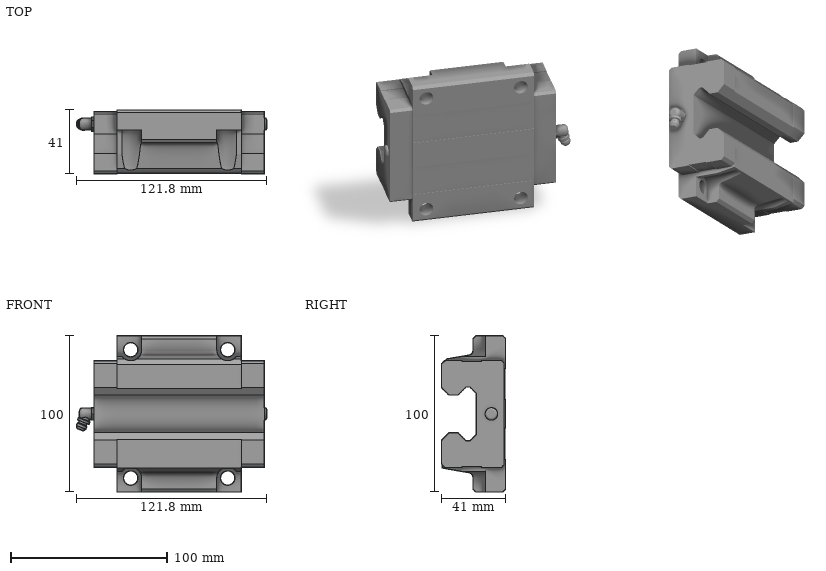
import cadquery as cq
import math


OVERALL_LENGTH = 121.76
OVERALL_DEPTH = 41.0
FLANGE_WIDTH = 100.0

BLOCK_LENGTH = 79.6
BLOCK_DEPTH = 40.6
FLANGE_THICKNESS = 21.0
MOUNT_EDGE_CHAMFER = 1.8
FLANGE_EDGE_CHAMFER = 2.0
FLANGE_ROOT_RADIUS = 2.75
SIDE_TAPER = math.tan(math.radians(10))
SIDE_ROOT_HALF_WIDTH = 38.1
UPPER_CHAMFER_DEPTH = 37.5
UPPER_CHAMFER_END = 31.6
RELIEF_INNER = 9.1
RELIEF_WIDTH = 20.0
RELIEF_DEPTH = 0.25

HOLE_DIAMETER = 9.0
HOLE_PITCH_X = 62.0
HOLE_PITCH_Z = 82.0
SEAT_DEPTH = 12.9
SEAT_RADIUS = 7.0
SEAT_END_DEPTH = 39.0
SEAT_LEDGE = 36.8

CAP_LENGTH = 14.7
CAP_HALF_WIDTH = 34.1
CAP_SETBACK = 1.1
CAP_REAR_CHAMFER = 1.5
CAP_FRONT_CHAMFER = 2.0
CAP_SIDE_RECESS = 0.45
CAP_RECESS_START = 15.3
CAP_RECESS_END = 27.9

CHANNEL_FLOOR_DEPTH = 18.8
CHANNEL_NARROW = 12.0
CHANNEL_WIDE = 17.15
CHANNEL_FLOOR = 13.1
CHANNEL_WAIST_LENGTH = 2.45
CHANNEL_THROAT_LENGTH = 5.8

LUBE_DEPTH = 9.1
PLUG_DIAMETER = 8.0
PLUG_LENGTH = 1.5
PLUG_SEAT = 1.0
HEX_FLATS = 8.0
HEX_CORNERS = HEX_FLATS / math.cos(math.radians(30))
HEX_LENGTH = 1.7
ELBOW_DIAMETER = 7.85
ELBOW_STRAIGHT = 7.0
ELBOW_ROUND = 2.4
NIPPLE_ANGLE = 22.5
STEM_DIAMETER = 6.6
COLLAR_DIAMETER = 8.0
COLLAR_START = 3.9
COLLAR_END = 5.7
COLLAR_CHAMFER = 0.3
NECK_DIAMETER = 5.5
HEAD_DIAMETER = 6.6
HEAD_START = 7.6
HEAD_SHOULDER = 9.3
TIP_DIAMETER = 4.4
TIP_END = 11.0
HEAD_CHAMFER = (HEAD_DIAMETER - NECK_DIAMETER) / 2

FLANGE_HALF = FLANGE_WIDTH / 2
BLOCK_END = BLOCK_LENGTH / 2
CAP_END = BLOCK_END + CAP_LENGTH
NIPPLE_PROJECTION = OVERALL_LENGTH - 2 * CAP_END - PLUG_LENGTH


def side_half_width(depth):
    """Half width of the tapered block side at a given depth below the flange."""
    return SIDE_ROOT_HALF_WIDTH - SIDE_TAPER * (depth - FLANGE_THICKNESS)


def extrude_section(points, start, end):
    """Extrude a closed (depth, z) outline along X from start to end."""
    section = [(-depth, z) for depth, z in points]
    return cq.Workplane("YZ", origin=(start, 0, 0)).polyline(section).close().extrude(end - start)


def box_between(x_range, depth_range, z_range):
    """Box spanning the given X, depth and Z ranges."""
    size = [abs(r[1] - r[0]) for r in (x_range, depth_range, z_range)]
    middle = [sum(r) / 2 for r in (x_range, depth_range, z_range)]
    return cq.Workplane("XY").box(*size).translate((middle[0], -middle[1], middle[2]))


def make_block():
    """Flanged block; only the upper front edge is chamfered."""
    upper_side = [
        (0, FLANGE_HALF - MOUNT_EDGE_CHAMFER),
        (MOUNT_EDGE_CHAMFER, FLANGE_HALF),
        (FLANGE_THICKNESS - FLANGE_EDGE_CHAMFER, FLANGE_HALF),
        (FLANGE_THICKNESS, FLANGE_HALF - FLANGE_EDGE_CHAMFER),
        (FLANGE_THICKNESS, SIDE_ROOT_HALF_WIDTH),
    ]
    lower_side = [(depth, -z) for depth, z in reversed(upper_side)]
    front = [
        (UPPER_CHAMFER_DEPTH, side_half_width(UPPER_CHAMFER_DEPTH)),
        (BLOCK_DEPTH, UPPER_CHAMFER_END),
        (BLOCK_DEPTH, -side_half_width(BLOCK_DEPTH)),
    ]
    block = extrude_section(upper_side + front + lower_side, -BLOCK_END, BLOCK_END)
    for side in (1, -1):
        root = cq.selectors.NearestToPointSelector((0, -FLANGE_THICKNESS, side * SIDE_ROOT_HALF_WIDTH))
        block = block.edges("|X").edges(root).fillet(FLANGE_ROOT_RADIUS)
        relief_z = (side * RELIEF_INNER, side * (RELIEF_INNER + RELIEF_WIDTH))
        block = block.cut(box_between((-BLOCK_END, BLOCK_END), (0, RELIEF_DEPTH), relief_z))
    return block


def cylinder_along_y(x, z, radius, start_depth, end_depth):
    """Cylinder running away from the mounting face."""
    plane = cq.Plane(origin=(x, -start_depth, z), xDir=(1, 0, 0), normal=(0, -1, 0))
    return cq.Workplane(plane).circle(radius).extrude(end_depth - start_depth)


def make_hole_cutter(x_side, z_side):
    """Through hole with its bolt seat, milled open to the block end and flange edge."""
    x = x_side * HOLE_PITCH_X / 2
    z = z_side * HOLE_PITCH_Z / 2
    seat_range = (SEAT_DEPTH, SEAT_END_DEPTH)
    outer_z = z_side * FLANGE_HALF
    hole = cylinder_along_y(x, z, HOLE_DIAMETER / 2, 0, SEAT_END_DEPTH)
    seat = cylinder_along_y(x, z, SEAT_RADIUS, SEAT_DEPTH, SEAT_END_DEPTH)
    edge_opening = box_between((x - x_side * SEAT_RADIUS, x_side * BLOCK_END), seat_range, (z, outer_z))
    end_opening = box_between((x, x_side * BLOCK_END), seat_range, (z_side * SEAT_LEDGE, outer_z))
    return hole.union(seat).union(edge_opening).union(end_opening)


def make_cap(start, end):
    """End cap with chamfered long edges and a shallow band recessed in each side."""
    recessed_half = CAP_HALF_WIDTH - CAP_SIDE_RECESS
    upper_side = [
        (CAP_SETBACK, CAP_HALF_WIDTH - CAP_REAR_CHAMFER),
        (CAP_SETBACK + CAP_REAR_CHAMFER, CAP_HALF_WIDTH),
        (CAP_RECESS_START, CAP_HALF_WIDTH),
        (CAP_RECESS_START, recessed_half),
        (CAP_RECESS_END, recessed_half),
        (CAP_RECESS_END, CAP_HALF_WIDTH),
        (OVERALL_DEPTH - CAP_FRONT_CHAMFER, CAP_HALF_WIDTH),
        (OVERALL_DEPTH, CAP_HALF_WIDTH - CAP_FRONT_CHAMFER),
    ]
    lower_side = [(depth, -z) for depth, z in reversed(upper_side)]
    return extrude_section(upper_side + lower_side, start, end)


def make_channel():
    """Rail channel cutter running through the block and both caps."""
    waist_start = CHANNEL_FLOOR_DEPTH + CHANNEL_WIDE - CHANNEL_FLOOR
    waist_end = waist_start + CHANNEL_WAIST_LENGTH
    throat_start = waist_end + CHANNEL_WIDE - CHANNEL_NARROW
    throat_end = throat_start + CHANNEL_THROAT_LENGTH
    mouth = CHANNEL_NARROW + OVERALL_DEPTH - throat_end
    upper_flank = [
        (CHANNEL_FLOOR_DEPTH, CHANNEL_FLOOR),
        (waist_start, CHANNEL_WIDE),
        (waist_end, CHANNEL_WIDE),
        (throat_start, CHANNEL_NARROW),
        (throat_end, CHANNEL_NARROW),
        (OVERALL_DEPTH, mouth),
    ]
    lower_flank = [(depth, -z) for depth, z in reversed(upper_flank)]
    return extrude_section(upper_flank + lower_flank, -CAP_END, CAP_END)


def make_plug():
    """Plug seated in the +X cap, its visible part fully rounded at the edge."""
    base = cq.Workplane("YZ", origin=(CAP_END - PLUG_SEAT, -LUBE_DEPTH, 0))
    plug = base.circle(PLUG_DIAMETER / 2).extrude(PLUG_SEAT + PLUG_LENGTH)
    return plug.faces(">X").edges().fillet(PLUG_LENGTH)


def make_nipple():
    """Hexagon, elbow body and tilted grease head on the -X cap."""
    base = cq.Workplane("YZ", origin=(-CAP_END, -LUBE_DEPTH, 0))
    hexagon = base.polygon(6, HEX_CORNERS).extrude(-HEX_LENGTH)
    elbow = base.circle(ELBOW_DIAMETER / 2).extrude(-(ELBOW_STRAIGHT + ELBOW_ROUND))
    elbow = elbow.faces("<X").edges().fillet(ELBOW_ROUND)

    head_profile = [
        (0, 0),
        (STEM_DIAMETER / 2, 0),
        (STEM_DIAMETER / 2, -COLLAR_START),
        (COLLAR_DIAMETER / 2 - COLLAR_CHAMFER, -COLLAR_START),
        (COLLAR_DIAMETER / 2, -COLLAR_START - COLLAR_CHAMFER),
        (COLLAR_DIAMETER / 2, -COLLAR_END),
        (NECK_DIAMETER / 2, -COLLAR_END),
        (NECK_DIAMETER / 2, -HEAD_START + HEAD_CHAMFER),
        (HEAD_DIAMETER / 2, -HEAD_START),
        (HEAD_DIAMETER / 2, -HEAD_SHOULDER),
        (TIP_DIAMETER / 2, -TIP_END),
        (0, -TIP_END),
    ]
    head = cq.Workplane("XZ").polyline(head_profile).close().revolve(360, (0, 0), (0, 1))
    tilt = math.radians(NIPPLE_ANGLE)
    head_reach = HEAD_SHOULDER * math.sin(tilt) + HEAD_DIAMETER / 2 * math.cos(tilt)
    elbow_x = -CAP_END - NIPPLE_PROJECTION + head_reach
    head = head.rotate((0, 0, 0), (0, 1, 0), NIPPLE_ANGLE).translate((elbow_x, -LUBE_DEPTH, 0))
    return hexagon.union(elbow).union(head)


result = make_block()
for x_side in (1, -1):
    for z_side in (1, -1):
        result = result.cut(make_hole_cutter(x_side, z_side))
result = result.union(make_cap(-CAP_END, -BLOCK_END)).union(make_cap(BLOCK_END, CAP_END))
result = result.cut(make_channel())
result = result.union(make_plug()).union(make_nipple())